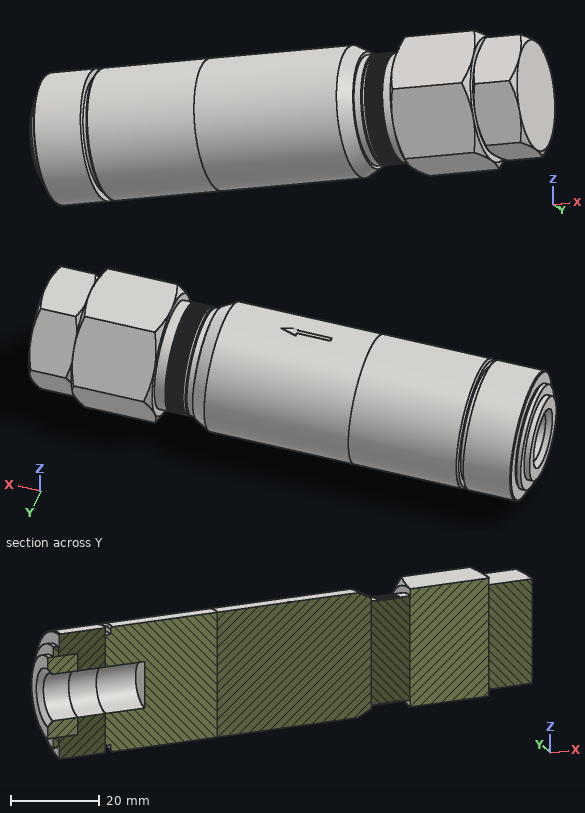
import cadquery as cq
import math


sleeve_front = 0.0
ring_front = 1.3
collar_front = 2.7
collar_back = 14.1
housing_front = 15.3
housing_joint = 41.4
taper_front = 75.8
housing_back = 79.1
nut_front = 88.4
nut_back = 107.7
fitting_back = 118.4

sleeve_diameter = 19.8
bore_diameter = 11.1
entry_diameter = 13.8
entry_depth = 1.2
sleeve_back = 7.3
bore_back = 23.7

ring_diameter = 24.6
ring_relief_diameter = 23.8
ring_relief_width = 0.4
collar_chamfer = 0.2

body_diameter = 30.3
spigot_diameter = 26.9
housing_chamfer = 0.5
taper_end_diameter = 26.7

arrow_tail = 50.8
arrow_neck = 58.8
arrow_tip = 62.6
arrow_y = -1.1
arrow_shaft_width = 1.0
arrow_head_width = 2.6
arrow_depth = 0.1

neck_diameter = 25.3
groove_depth = 0.18
groove_width = 0.3
single_groove_front = 80.7
groove_row_front = 81.7
groove_pitch = 0.65
groove_count = 7

nut_corners = 33.0
fitting_corners = 29.2
hex_chamfer_angle = 30.0


def cylinder(diameter, x_start, x_end):
    """Solid cylinder along X between two stations."""
    return cq.Workplane("YZ", origin=(x_start, 0, 0)).circle(diameter / 2).extrude(x_end - x_start)


def tube(outer_diameter, inner_diameter, x_start, x_end):
    """Cylinder along X with a through hole."""
    return cylinder(outer_diameter, x_start, x_end).cut(cylinder(inner_diameter, x_start, x_end))


def chamfered_hexagon(corners, x_start, x_end):
    """Hexagonal prism along X whose corners are turned down to the flats at both ends."""
    prism = cq.Workplane("YZ", origin=(x_start, 0, 0)).polygon(6, corners).extrude(x_end - x_start)
    corner_radius = corners / 2
    flat_radius = corner_radius * math.cos(math.pi / 6)
    cone_length = (corner_radius - flat_radius) * math.tan(math.radians(hex_chamfer_angle))
    envelope = (
        cq.Workplane("XY")
        .moveTo(x_start, 0)
        .lineTo(x_start, flat_radius)
        .lineTo(x_start + cone_length, corner_radius)
        .lineTo(x_end - cone_length, corner_radius)
        .lineTo(x_end, flat_radius)
        .lineTo(x_end, 0)
        .close()
        .revolve(360, (0, 0, 0), (1, 0, 0))
    )
    return prism.intersect(envelope)


def make_release_sleeve():
    """Sleeve around the tube bore with a tapered entry."""
    sleeve = tube(sleeve_diameter, bore_diameter, sleeve_front, sleeve_back)
    entry_cone = (
        cq.Workplane("XY")
        .moveTo(sleeve_front, 0)
        .lineTo(sleeve_front, entry_diameter / 2)
        .lineTo(sleeve_front + entry_depth, bore_diameter / 2)
        .lineTo(sleeve_front + entry_depth, 0)
        .close()
        .revolve(360, (0, 0, 0), (1, 0, 0))
    )
    return sleeve.cut(entry_cone)


def make_marking_ring():
    """Ring around the sleeve, with a narrow relief where it meets the collar."""
    relief_front = collar_front - ring_relief_width
    front = tube(ring_diameter, sleeve_diameter, ring_front, relief_front)
    relief = tube(ring_relief_diameter, sleeve_diameter, relief_front, collar_front)
    return front.union(relief)


def make_collar():
    """Collar that holds the sleeve and continues the tube bore behind it."""
    collar = cylinder(body_diameter, collar_front, collar_back).faces("<X").chamfer(collar_chamfer)
    collar = collar.cut(cylinder(sleeve_diameter, collar_front, sleeve_back))
    return collar.cut(cylinder(bore_diameter, sleeve_back, collar_back))


def make_front_housing():
    """Front housing half with a spigot against the collar and a blind bore."""
    barrel = cylinder(body_diameter, housing_front, housing_joint).faces("<X").chamfer(housing_chamfer)
    spigot = cylinder(spigot_diameter, collar_back, housing_front)
    return barrel.union(spigot).cut(cylinder(bore_diameter, collar_back, bore_back))


def make_flow_arrow():
    """Arrow-shaped cutter that reaches just below the top of the barrel."""
    return (
        cq.Workplane("XY", origin=(0, arrow_y, body_diameter / 2 - arrow_depth))
        .moveTo(arrow_tail, -arrow_shaft_width / 2)
        .lineTo(arrow_neck, -arrow_shaft_width / 2)
        .lineTo(arrow_neck, -arrow_head_width / 2)
        .lineTo(arrow_tip, 0)
        .lineTo(arrow_neck, arrow_head_width / 2)
        .lineTo(arrow_neck, arrow_shaft_width / 2)
        .lineTo(arrow_tail, arrow_shaft_width / 2)
        .close()
        .extrude(body_diameter / 2)
    )


def make_rear_housing():
    """Rear housing half with a tapered end and the flow arrow."""
    barrel = cylinder(body_diameter, housing_joint, housing_back)
    taper_height = (body_diameter - taper_end_diameter) / 2
    barrel = barrel.faces(">X").chamfer(housing_back - taper_front, taper_height)
    return barrel.cut(make_flow_arrow())


def make_neck():
    """Neck with one single groove and a row of equal grooves."""
    neck = cylinder(neck_diameter, housing_back, nut_front)
    groove_floor = neck_diameter - 2 * groove_depth
    row = [groove_row_front + i * groove_pitch for i in range(groove_count)]
    for groove_front in [single_groove_front] + row:
        neck = neck.cut(tube(body_diameter, groove_floor, groove_front, groove_front + groove_width))
    return neck


release_sleeve = make_release_sleeve()
marking_ring = make_marking_ring()
collar = make_collar()
front_housing = make_front_housing()
rear_housing = make_rear_housing()
neck = make_neck()
nut = chamfered_hexagon(nut_corners, nut_front, nut_back)
end_fitting = chamfered_hexagon(fitting_corners, nut_back, fitting_back)

result = cq.Compound.makeCompound([
    release_sleeve.val(),
    marking_ring.val(),
    collar.val(),
    front_housing.val(),
    rear_housing.val(),
    neck.val(),
    nut.val(),
    end_fitting.val(),
])